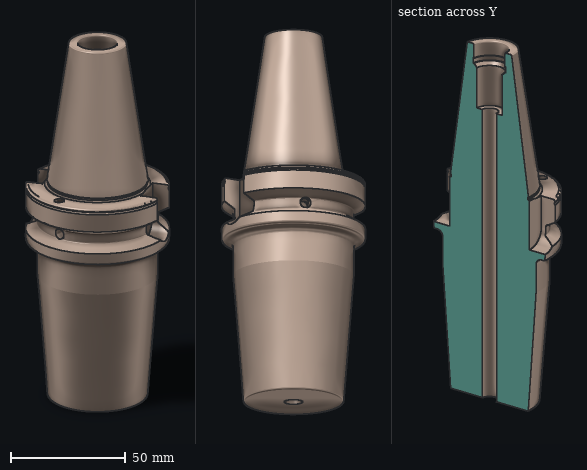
import cadquery as cq
import math

total_length = 165.4
collar_top_z = 100.7
flange_top_z = 99.0
groove_center_z = 83.4
groove_floor_width = 4.5
groove_flank_angle = 30
flange_bottom_z = 73.0
body_taper_start_z = 57.0

small_end_radius = 12.7
gauge_radius = 22.2
flange_radius = 63.0 / 2
groove_radius = 26.5
body_radius = 26.5
nose_radius = 44.2 / 2

small_end_fillet = 0.8
collar_step = 0.3
collar_root_width = 1.3
collar_root_height = 0.5
neck_top_drop = 0.3
flange_top_fillet = 1.2
rim_groove_height = 1.3
rim_groove_floor_drop = 0.5
rim_groove_depth = 0.5
flange_bottom_fillet = 1.0
groove_corner_fillet = 0.7
flange_root_fillet = 3.0
nose_fillet = 0.8

through_radius = 4.0
thread_radius = 7.0
pilot_radius = 8.6
pilot_mouth_fillet = 0.8
pilot_depth = 7.0
relief_width = 2.3
relief_radius = 9.1
pilot_cone_depth = pilot_radius - thread_radius
thread_depth = 29.8

slot_width = 16.2
slot_floor_x = 22.7
slot_arc_z = 84.4

coolant_radius = 2.2
coolant_outlet_radius = 2.3
coolant_inlet_radius = 26.8
coolant_inner_radius = 19.4
coolant_angles = (70, 250)


def holder_body():
    groove_flank_height = (flange_radius - groove_radius) * math.tan(math.radians(groove_flank_angle))
    groove_top_z = groove_center_z + groove_floor_width / 2
    groove_bottom_z = groove_center_z - groove_floor_width / 2
    rim_groove_top_z = flange_top_z - flange_top_fillet
    rim_groove_bottom_z = rim_groove_top_z - rim_groove_height
    neck_radius = gauge_radius - collar_step
    outline = (
        cq.Workplane("XZ")
        .moveTo(0, 0)
        .lineTo(nose_radius - nose_fillet, 0)
        .radiusArc((nose_radius, nose_fillet), -nose_fillet)
        .lineTo(body_radius, body_taper_start_z)
        .lineTo(body_radius, flange_bottom_z - flange_root_fillet)
        .radiusArc((body_radius + flange_root_fillet, flange_bottom_z), flange_root_fillet)
        .lineTo(flange_radius - flange_bottom_fillet, flange_bottom_z)
        .radiusArc((flange_radius, flange_bottom_z + flange_bottom_fillet), -flange_bottom_fillet)
        .lineTo(flange_radius, groove_bottom_z - groove_flank_height)
        .lineTo(groove_radius, groove_bottom_z)
        .lineTo(groove_radius, groove_top_z)
        .lineTo(flange_radius, groove_top_z + groove_flank_height)
        .lineTo(flange_radius, rim_groove_bottom_z)
        .lineTo(flange_radius - rim_groove_depth, rim_groove_top_z - rim_groove_floor_drop)
        .lineTo(flange_radius, rim_groove_top_z)
        .radiusArc((flange_radius - flange_top_fillet, flange_top_z), -flange_top_fillet)
        .lineTo(neck_radius + collar_root_width, flange_top_z)
        .lineTo(neck_radius, flange_top_z + collar_root_height)
        .lineTo(neck_radius, collar_top_z - neck_top_drop)
        .lineTo(gauge_radius, collar_top_z)
        .lineTo(small_end_radius, total_length - small_end_fillet)
        .radiusArc((small_end_radius - small_end_fillet, total_length), -small_end_fillet)
        .lineTo(0, total_length)
        .close()
    )
    body = outline.revolve(360, (0, 0, 0), (0, 1, 0))
    half_size = groove_floor_width
    floor_corners = cq.selectors.BoxSelector(
        (-half_size, -half_size, groove_center_z - half_size),
        (half_size, half_size, groove_center_z + half_size),
    )
    return body.edges(floor_corners).fillet(groove_corner_fillet)


def bore():
    pilot_bottom_z = total_length - pilot_depth
    relief_bottom_z = pilot_bottom_z - relief_width
    thread_bottom_z = total_length - thread_depth
    outline = (
        cq.Workplane("XZ")
        .moveTo(0, 0)
        .lineTo(through_radius, 0)
        .lineTo(through_radius, thread_bottom_z)
        .lineTo(thread_radius, thread_bottom_z)
        .lineTo(thread_radius, relief_bottom_z - pilot_cone_depth)
        .lineTo(pilot_radius, relief_bottom_z)
        .lineTo(relief_radius, relief_bottom_z)
        .lineTo(relief_radius, pilot_bottom_z)
        .lineTo(pilot_radius, pilot_bottom_z)
        .lineTo(pilot_radius, total_length - pilot_mouth_fillet)
        .radiusArc((pilot_radius + pilot_mouth_fillet, total_length), pilot_mouth_fillet)
        .lineTo(0, total_length)
        .close()
    )
    return outline.revolve(360, (0, 0, 0), (0, 1, 0))


def drive_slot(side):
    """Round-bottomed keyway, open at the flange top and on the outside (side is -1 or 1)."""
    length = flange_radius
    straight_height = total_length - slot_arc_z
    center_x = side * (slot_floor_x + length / 2)
    straight = cq.Workplane("XY").box(length, slot_width, straight_height, centered=(True, True, False))
    rounded = cq.Workplane("YZ").circle(slot_width / 2).extrude(length / 2, both=True)
    return straight.union(rounded).translate((center_x, 0, slot_arc_z))


def drilled(start, end, radius):
    """Cylinder of the given radius between two points."""
    path = end - start
    return cq.Workplane(obj=cq.Solid.makeCylinder(radius, path.Length, start, path))


def coolant_channel(angle):
    """Blind radial hole in the groove, met by a slanted hole from the flange top face."""
    radial_start = cq.Vector(coolant_inner_radius, 0, groove_center_z)
    radial_end = cq.Vector(flange_radius, 0, groove_center_z)
    meeting_point = cq.Vector(coolant_inner_radius + coolant_radius, 0, groove_center_z)
    inlet = cq.Vector(coolant_inlet_radius, 0, flange_top_z)
    above_inlet = inlet + (inlet - meeting_point).normalized() * coolant_radius
    slanted = drilled(meeting_point, above_inlet, coolant_radius)
    radial = drilled(radial_start, radial_end, coolant_outlet_radius)
    return slanted.union(radial).rotate((0, 0, 0), (0, 0, 1), angle)


result = holder_body().cut(bore())
for side in (-1, 1):
    result = result.cut(drive_slot(side))
for angle in coolant_angles:
    result = result.cut(coolant_channel(angle))